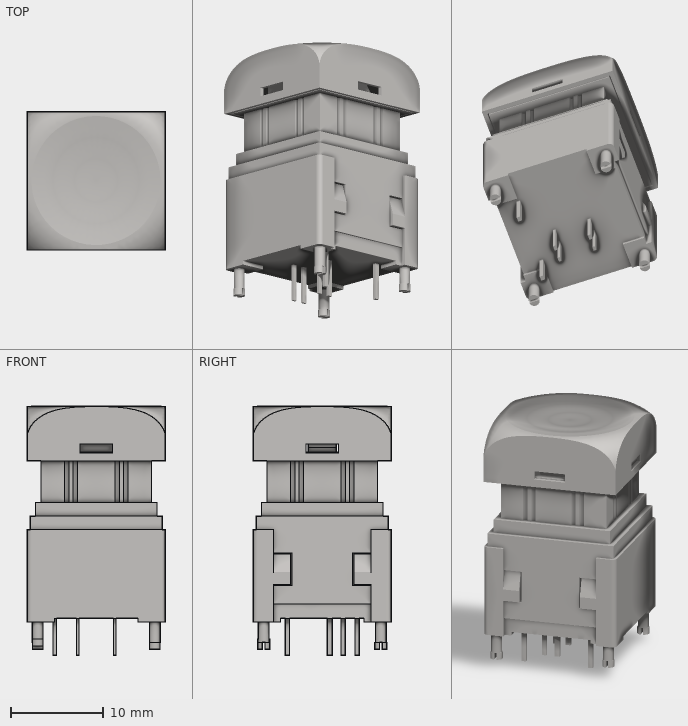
import cadquery as cq
import math


case_width = 15.0
body_width = 14.3
rim_width = 13.2
plunger_width = 12.0
flap_width = 2.25
flap_edge = case_width / 2 - flap_width
shield_top = 10.05
body_top = 11.5
rim_top = 13.0
shield_corner_radius = 0.55
notch_width = 9.02
notch_height = 0.4
sill_height = 2.0
sill_depth = 0.25

pocket_width = 2.0
pocket_height = 3.5
pocket_bottom = 4.0
pocket_depth = 0.7
wedge_clearance = 0.1
wedge_side_clearance = 0.2
wedge_slope_start = 5.4
wedge_taper = 0.62

groove_diameter = 0.49
groove_offsets = (2.27, 3.2)
latch_width = 3.05
latch_slope_start = 1.43
latch_slope_depth = 0.75
shoulder_gap = 0.14
side_wall_width = 4.32
side_wall_thickness = 0.6

cap_width = case_width
cap_bottom = 17.5
cap_top = 23.4
dish_radius = 7.0
dish_depth = 0.5
dome_radius = 3.65
cap_wall = 0.45
cap_ceiling = 20.3
window_width = 3.5
window_height = 0.95
window_bottom = cap_bottom + 0.86
plunger_top = window_bottom + 0.08
shoulder_width = cap_width - 2 * (cap_wall + shoulder_gap)

leg_offset = 6.35
leg_diameter = 1.2
head_span = 1.32
head_height = 0.75
leg_length = 2.95
short_leg_length = 2.56
leg_slot_width = 0.27

terminal_length = 3.6
lamp_terminal_x = -4.5
lamp_terminal_y = 3.78
lamp_terminal_size = (0.4, 0.5)
contact_row_x = 2.0
contact_thickness = 0.3
contact_places = ((2.27, 0.49), (0.8, 0.57))


def block(x_range, y_range, z_range):
    """Axis-aligned box between the given limits."""
    (x0, x1), (y0, y1), (z0, z1) = x_range, y_range, z_range
    return cq.Workplane("XY").box(x1 - x0, y1 - y0, z1 - z0, centered=False).translate((x0, y0, z0))


def square_block(width, bottom, top):
    """Square prism centred on the Z axis."""
    return cq.Workplane("XY", origin=(0, 0, bottom)).rect(width, width).extrude(top - bottom)


def make_shielded_body():
    """Moulded body with its rim, in a shield that leaves the middle of the X sides open."""
    shield = square_block(case_width, 0, shield_top).edges("|Z").fillet(shield_corner_radius)
    for side in (-1, 1):
        face_x = side * body_width / 2
        outside_x = side * case_width / 2
        opening = block(
            sorted((face_x, outside_x)), (-flap_edge, flap_edge), (0, shield_top)
        )
        set_back = block(
            sorted((face_x - side * sill_depth, face_x)), (-flap_edge, flap_edge), (0, sill_height)
        )
        shield = shield.cut(opening).cut(set_back)
    body = square_block(body_width, shield_top, body_top)
    rim = square_block(rim_width, body_top, rim_top)
    return shield.union(body).union(rim)


def make_foot_notch():
    """Cross-shaped clearance under the body that leaves a foot at each corner."""
    half = notch_width / 2
    along_x = block((-case_width, case_width), (-half, half), (0, notch_height))
    along_y = block((-half, half), (-case_width, case_width), (0, notch_height))
    return along_x.union(along_y)


def make_pocket():
    """Pocket round the wedge at the (-X, +Y) corner."""
    return block(
        (-body_width / 2, -body_width / 2 + pocket_depth),
        (flap_edge - pocket_width, flap_edge),
        (pocket_bottom, pocket_bottom + pocket_height),
    )


def make_wedge():
    """Wedge at the (-X, +Y) corner: flush with the flap below, sloping into the pocket above."""
    outer_x = -case_width / 2
    bottom = pocket_bottom + wedge_clearance
    top = pocket_bottom + pocket_height - wedge_clearance
    floor_x = -body_width / 2 + pocket_depth
    outline = [
        (outer_x, bottom),
        (outer_x, wedge_slope_start),
        (outer_x + wedge_taper, top),
        (floor_x, top),
        (floor_x, bottom),
    ]
    length = pocket_width - wedge_side_clearance
    return cq.Workplane("XZ", origin=(0, flap_edge, 0)).polyline(outline).close().extrude(length)


def at_four_corners(shape):
    """The shape with its mirror images across X and Y."""
    pair = shape.union(shape.mirror("XZ"))
    return pair.union(pair.mirror("YZ"))


def make_plunger():
    """Grooved square plunger with a shoulder that carries a latch bar and two side walls."""
    plunger = square_block(plunger_width, rim_top, cap_bottom)
    for turn in range(4):
        for offset in groove_offsets:
            for sign in (-1, 1):
                groove = (
                    cq.Workplane("XY", origin=(sign * offset, -plunger_width / 2, rim_top))
                    .circle(groove_diameter / 2)
                    .extrude(cap_bottom - rim_top)
                    .rotate((0, 0, 0), (0, 0, 1), 90 * turn)
                )
                plunger = plunger.cut(groove)
    shoulder = square_block(shoulder_width, cap_bottom, plunger_top)
    half = plunger_width / 2
    slope_bottom = cap_bottom + latch_slope_start
    latch_outline = [
        (-half, plunger_top),
        (-half, slope_bottom),
        (latch_slope_depth - half, cap_ceiling),
        (half - latch_slope_depth, cap_ceiling),
        (half, slope_bottom),
        (half, plunger_top),
    ]
    latch = cq.Workplane("XZ").polyline(latch_outline).close().extrude(latch_width / 2, both=True)
    side_wall = block(
        (-side_wall_width / 2, side_wall_width / 2),
        (-half, -half + side_wall_thickness),
        (plunger_top, cap_ceiling),
    )
    plunger = plunger.union(shoulder).union(latch)
    return plunger.union(side_wall).union(side_wall.mirror("XZ"))


def make_leg(x, y, length):
    """Round leg with a split snap head that is wider across the split."""
    stem = cq.Workplane("XY", origin=(x, y, head_height - length)).circle(leg_diameter / 2)
    stem = stem.extrude(length - head_height)
    head = cq.Workplane("XY", origin=(x, y, -length)).slot2D(head_span, leg_diameter, 90).extrude(head_height)
    slot = block(
        (x - head_span, x + head_span),
        (y - leg_slot_width / 2, y + leg_slot_width / 2),
        (-length, head_height - length),
    )
    return stem.union(head.cut(slot))


def make_terminal(x, y, x_size, y_size):
    """Flat terminal hanging from the underside of the body."""
    return block(
        (x - x_size / 2, x + x_size / 2),
        (y - y_size / 2, y + y_size / 2),
        (-terminal_length, notch_height),
    )


def make_switch():
    """Housing, plunger, legs and terminals as one body."""
    switch = make_shielded_body().cut(make_foot_notch())
    switch = switch.cut(at_four_corners(make_pocket())).union(at_four_corners(make_wedge()))
    switch = switch.union(make_plunger())
    for x_sign in (-1, 1):
        for y_sign in (-1, 1):
            length = short_leg_length if x_sign < 0 and y_sign < 0 else leg_length
            switch = switch.union(make_leg(x_sign * leg_offset, y_sign * leg_offset, length))
    for y_sign in (-1, 1):
        switch = switch.union(make_terminal(lamp_terminal_x, y_sign * lamp_terminal_y, *lamp_terminal_size))
    for x_sign in (-1, 1):
        for y, width in contact_places:
            switch = switch.union(make_terminal(x_sign * contact_row_x, y, contact_thickness, width))
    return switch


def make_cap():
    """Hollow square cap with a domed edge, a dished top and a latch window in each side."""
    dome_edge = dish_radius + dome_radius
    shoulder = cap_top - dome_radius
    arc_middle = dome_radius * math.sqrt(0.5)
    dish_sphere_radius = (dish_radius**2 + dish_depth**2) / (2 * dish_depth)
    middle_rise = dish_sphere_radius - math.sqrt(dish_sphere_radius**2 - (dish_radius / 2) ** 2)
    dome = (
        cq.Workplane("XZ")
        .moveTo(0, cap_bottom)
        .lineTo(dome_edge, cap_bottom)
        .lineTo(dome_edge, shoulder)
        .threePointArc((dish_radius + arc_middle, shoulder + arc_middle), (dish_radius, cap_top))
        .threePointArc((dish_radius / 2, cap_top - dish_depth + middle_rise), (0, cap_top - dish_depth))
        .close()
        .revolve(360, (0, 0), (0, 1))
    )
    cap = square_block(cap_width, cap_bottom, cap_top).intersect(dome)
    cap = cap.cut(square_block(cap_width - 2 * cap_wall, cap_bottom, cap_ceiling))
    half = window_width / 2
    window_z = (window_bottom, window_bottom + window_height)
    cap = cap.cut(block((-cap_width, cap_width), (-half, half), window_z))
    return cap.cut(block((-half, half), (-cap_width, cap_width), window_z))


switch = make_switch()
cap = make_cap()
result = cq.Compound.makeCompound([switch.solids().val(), cap.solids().val()])